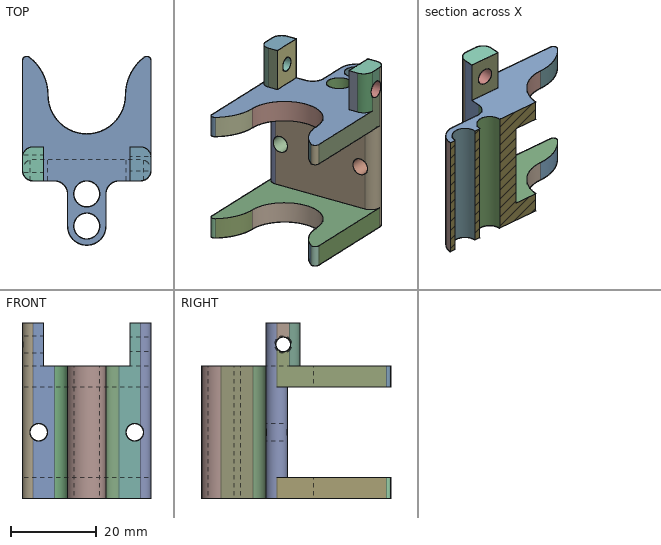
import cadquery as cq
import math

width = 30.0
total_length = 44.1
total_height = 41.0
half_width = width / 2

body_height = 31.0
plate_thickness = 5.0
wall_thickness = 5.03
corner_radius = wall_thickness / 2
tail_reach = 15.0
tail_radius = 4.5
tail_fillet = 3.0
fork_reach = total_length - tail_reach

seat_radius = 9.0
seat_y = 20.0
tip_radius = 1.0

ear_width = 5.0
ear_depth = 8.0

tail_hole_diameter = 6.0
tail_hole_spacing = 7.5
wall_hole_diameter = 4.0
wall_hole_x = 11.2
ear_clearance_diameter = 4.0
ear_small_diameter = 3.4
ear_hole_y = 4.0
ear_hole_z = 35.95


def fork_plate(bottom_z):
    """Flat fork whose flare arcs are tangent to the seat and to the round tips."""
    tip_x = half_width - tip_radius
    tip_y = fork_reach - tip_radius
    rise = tip_y - seat_y
    offset = tip_x - seat_radius - tip_radius
    center_distance = (offset**2 + rise**2) / (2 * offset)
    flare_radius = center_distance + tip_radius
    flare_x = seat_radius + flare_radius
    flare_angle = math.atan2(rise, flare_x - tip_x)

    def flare_point(angle):
        return (flare_x - flare_radius * math.cos(angle), seat_y + flare_radius * math.sin(angle))

    def mirrored(point):
        return (-point[0], point[1])

    flare_end = flare_point(flare_angle)
    flare_middle = flare_point(flare_angle / 2)
    tip_top = (tip_x, fork_reach)
    tip_side = (half_width, tip_y)
    return (
        cq.Workplane("XY", origin=(0, 0, bottom_z))
        .moveTo(-half_width, corner_radius)
        .lineTo(half_width, corner_radius)
        .lineTo(*tip_side)
        .threePointArc(tip_top, flare_end)
        .threePointArc(flare_middle, (seat_radius, seat_y))
        .threePointArc((0, seat_y - seat_radius), (-seat_radius, seat_y))
        .threePointArc(mirrored(flare_middle), mirrored(flare_end))
        .threePointArc(mirrored(tip_top), mirrored(tip_side))
        .close()
        .extrude(plate_thickness)
    )


def wall():
    """Upright wall with fully rounded ends."""
    return (
        cq.Workplane("XY")
        .center(0, wall_thickness / 2)
        .slot2D(width, wall_thickness)
        .extrude(body_height)
    )


def tail():
    """Round-ended tail that blends into the back of the wall."""
    blend_x = tail_radius + tail_fillet
    blend_inset = tail_fillet * (1 - math.sqrt(0.5))
    blend_middle = (tail_radius + blend_inset, -blend_inset)
    tail_center_y = tail_radius - tail_reach
    return (
        cq.Workplane("XY")
        .moveTo(-blend_x, corner_radius)
        .lineTo(-blend_x, 0)
        .threePointArc((-blend_middle[0], blend_middle[1]), (-tail_radius, -tail_fillet))
        .lineTo(-tail_radius, tail_center_y)
        .threePointArc((0, -tail_reach), (tail_radius, tail_center_y))
        .lineTo(tail_radius, -tail_fillet)
        .threePointArc(blend_middle, (blend_x, 0))
        .lineTo(blend_x, corner_radius)
        .close()
        .extrude(body_height)
    )


def ear(side):
    """Ear with rounded outer corners; side is -1 for -X and 1 for +X."""
    outer_edges = "|Z and >X" if side > 0 else "|Z and <X"
    return (
        cq.Workplane("XY", origin=(side * (half_width - ear_width / 2), ear_depth / 2, body_height))
        .rect(ear_width, ear_depth)
        .extrude(total_height - body_height)
        .edges(outer_edges)
        .fillet(corner_radius)
    )


def tail_holes():
    """Vertical holes, the rear one concentric with the tail end."""
    rear_y = tail_radius - tail_reach
    return (
        cq.Workplane("XY")
        .pushPoints([(0, rear_y), (0, rear_y + tail_hole_spacing)])
        .circle(tail_hole_diameter / 2)
        .extrude(body_height)
    )


def wall_holes():
    """Holes through the wall, halfway up the body."""
    return (
        cq.Workplane("XZ")
        .pushPoints([(-wall_hole_x, body_height / 2), (wall_hole_x, body_height / 2)])
        .circle(wall_hole_diameter / 2)
        .extrude(-wall_thickness)
    )


def ear_hole(start_x, diameter):
    """Hole along X through the ear that begins at start_x."""
    return (
        cq.Workplane("YZ", origin=(start_x, ear_hole_y, ear_hole_z))
        .circle(diameter / 2)
        .extrude(ear_width)
    )


result = wall().union(tail())
for plate_z in (0, body_height - plate_thickness):
    result = result.union(fork_plate(plate_z))
for ear_side in (-1, 1):
    result = result.union(ear(ear_side))
result = result.cut(tail_holes()).cut(wall_holes())
result = result.cut(ear_hole(-half_width, ear_clearance_diameter))
result = result.cut(ear_hole(half_width - ear_width, ear_small_diameter))